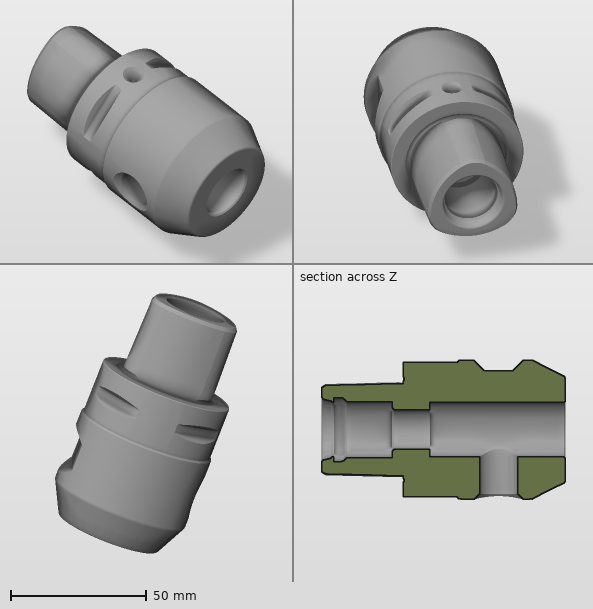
import cadquery as cq
import math


shank_length = 30.0
body_length = 60.0
flange_length = 20.0
nose_start = 47.8

flange_diameter = 50.0
body_diameter = 51.5
nose_diameter = 39.2
flange_edge_chamfer = 0.3
nose_edge_radius = 1.0
shoulder_radius = 1.5

lobe_center_offset = 8.55
lobe_radius = 10.12
flank_radius = lobe_radius + math.sqrt(3) * lobe_center_offset
lobe_angles = (90, 210, 330)
lobe_half_angle = 30
lobe_spacing = 120
straight_length = 2.3
end_chamfer_length = 1.4
end_chamfer_angle = 30.0
taper_angle = math.degrees(math.atan(1 / 40))

undercut_radius = 1.0
undercut_ring_radius = 18.75
undercut_center_x = -0.6

mouth_diameter = 24.0
mouth_rounding = 0.9
entry_end_diameter = 21.0
entry_end_depth = 3.4
entry_cone_angle = 18.0
lip_diameter = 20.0
lip_end_depth = 4.5
clamp_groove_diameter = 23.4
clamp_groove_corner_radius = 1.6
shank_bore_diameter = 20.5
shank_bore_start_depth = 9.3
shank_bore_depth = 26.0
through_diameter = 14.38
through_chamfer = 0.8

tool_bore_diameter = 20.0
tool_bore_depth = 50.0
tool_bore_mouth_diameter = 21.0

screw_x = 35.4
screw_hole_diameter = 13.84
screw_sink_diameter = 17.9
relief_floor_y = 21.8
relief_floor_width = 10.4

groove_x = 10.0
groove_angles = (45, 135, 225, 315)
groove_floor_distance = 22.2
groove_floor_width = 3.5
groove_wall_angle = 30.0
groove_corner_radius = 0.6
dimple_diameter = 8.1

clearance = 5.0


def revolve_about_x(profile):
    """Revolve a closed profile of (x, radius) points about the X axis."""
    return profile.revolve(360, (0, 0, 0), (1, 0, 0))


def turned_body():
    """Flange, cylindrical body and tapered nose as one turned shape."""
    flange_radius = flange_diameter / 2
    body_radius = body_diameter / 2
    step = body_radius - flange_radius
    profile = cq.Workplane("XY").polyline([
        (0, 0),
        (0, flange_radius - flange_edge_chamfer),
        (flange_edge_chamfer, flange_radius),
        (flange_length, flange_radius),
        (flange_length + step, body_radius),
        (nose_start, body_radius),
        (body_length, nose_diameter / 2),
        (body_length, 0),
    ]).close()
    body = revolve_about_x(profile)
    shoulder_center = (nose_start, 0, 0)
    body = body.edges(cq.selectors.NearestToPointSelector(shoulder_center)).fillet(shoulder_radius)
    return body.edges(">X").fillet(nose_edge_radius)


def polar(distance, angle):
    """Point at a distance and angle in degrees from the outline centre."""
    return (distance * math.cos(math.radians(angle)), distance * math.sin(math.radians(angle)))


def polygon_outline(x, inset):
    """Three lobe arcs and three flank arcs, tangent to each other, in the plane at x."""
    lobe = lobe_radius - inset
    flank = flank_radius - inset

    def lobe_point(lobe_angle, direction):
        center = polar(lobe_center_offset, lobe_angle)
        offset = polar(lobe, direction)
        return (center[0] + offset[0], center[1] + offset[1])

    first_angle = lobe_angles[0]
    outline = cq.Workplane("YZ", origin=(x, 0, 0))
    outline = outline.moveTo(*lobe_point(first_angle, first_angle - lobe_half_angle))
    for angle in lobe_angles:
        lobe_end = lobe_point(angle, angle + lobe_half_angle)
        outline = outline.threePointArc(lobe_point(angle, angle), lobe_end)
        flank_middle = polar(flank - lobe_center_offset, angle + lobe_spacing / 2)
        next_angle = angle + lobe_spacing
        flank_end = lobe_point(next_angle, next_angle - lobe_half_angle)
        outline = outline.threePointArc(flank_middle, flank_end)
    return outline.close()


def shank():
    """Tapered polygon with a chamfered tip and a straight collar reaching into the flange."""
    taper_length = shank_length - straight_length - end_chamfer_length
    taper_start_x = end_chamfer_length - shank_length
    taper_inset = taper_length * math.tan(math.radians(taper_angle))
    chamfer_inset = end_chamfer_length * math.tan(math.radians(end_chamfer_angle))
    tip = polygon_outline(-shank_length, taper_inset + chamfer_inset)
    tip = tip.extrude(end_chamfer_length, taper=-end_chamfer_angle)
    cone = polygon_outline(taper_start_x, taper_inset).extrude(taper_length, taper=-taper_angle)
    collar = polygon_outline(-straight_length, 0).extrude(straight_length + clearance)
    return tip.union(cone).union(collar)


def undercut():
    """Ring of round section that cuts the lobe ends and the flange face."""
    section = cq.Workplane("XY").moveTo(undercut_center_x, undercut_ring_radius).circle(undercut_radius)
    return revolve_about_x(section)


def shank_bore():
    """Rounded mouth, entry cone, lip, clamping groove, plain bore and through hole."""
    end_x = -shank_length
    entry_radius = entry_end_diameter / 2
    lip_radius = lip_diameter / 2
    groove_radius = clamp_groove_diameter / 2
    bore_radius = shank_bore_diameter / 2
    through_radius = through_diameter / 2

    def mouth_point(turn):
        """Point on the rounded mouth after turning away from the end face by an angle."""
        return (
            end_x + mouth_rounding * (1 - math.cos(math.radians(turn))),
            mouth_diameter / 2 - mouth_rounding * math.sin(math.radians(turn)),
        )

    mouth_turn = 90 - entry_cone_angle
    mouth_middle = mouth_point(mouth_turn / 2)
    cone_start = mouth_point(mouth_turn)

    ramp_turn = math.radians(45)
    ramp_start_radius = groove_radius - clamp_groove_corner_radius * (1 - math.cos(ramp_turn))
    bore_start_x = end_x + shank_bore_start_depth
    ramp_start_x = bore_start_x - (ramp_start_radius - bore_radius)
    groove_floor_end_x = ramp_start_x - clamp_groove_corner_radius * math.sin(ramp_turn)

    floor_x = end_x + shank_bore_depth
    profile = (
        cq.Workplane("XY")
        .moveTo(end_x, 0)
        .lineTo(end_x, mouth_diameter / 2)
        .threePointArc(mouth_middle, cone_start)
        .lineTo(end_x + entry_end_depth, entry_radius)
        .lineTo(end_x + entry_end_depth + entry_radius - lip_radius, lip_radius)
        .lineTo(end_x + lip_end_depth, lip_radius)
        .lineTo(end_x + lip_end_depth, groove_radius)
        .lineTo(groove_floor_end_x, groove_radius)
        .tangentArcPoint((ramp_start_x, ramp_start_radius), relative=False)
        .lineTo(bore_start_x, bore_radius)
        .lineTo(floor_x, bore_radius)
        .lineTo(floor_x, through_radius + through_chamfer)
        .lineTo(floor_x + through_chamfer, through_radius)
        .lineTo(body_length, through_radius)
        .lineTo(body_length, 0)
        .close()
    )
    return revolve_about_x(profile)


def tool_bore():
    """Plain tool bore from the nose, with a chamfered mouth."""
    bore_radius = tool_bore_diameter / 2
    mouth_radius = tool_bore_mouth_diameter / 2
    profile = cq.Workplane("XY").polyline([
        (body_length - tool_bore_depth, 0),
        (body_length - tool_bore_depth, bore_radius),
        (body_length - (mouth_radius - bore_radius), bore_radius),
        (body_length, mouth_radius),
        (body_length, 0),
    ]).close()
    return revolve_about_x(profile)


def screw_hole():
    """Radial hole from -Y into the tool bore, with a 90 degree countersink."""
    body_radius = body_diameter / 2
    hole_radius = screw_hole_diameter / 2
    sink_radius = screw_sink_diameter / 2
    profile = cq.Workplane("XY", origin=(screw_x, 0, 0)).polyline([
        (0, 0),
        (hole_radius, 0),
        (hole_radius, -body_radius + sink_radius - hole_radius),
        (sink_radius, -body_radius),
        (sink_radius + clearance, -body_radius - clearance),
        (0, -body_radius - clearance),
    ]).close()
    return profile.revolve(360, (0, 0, 0), (0, 1, 0))


def relief():
    """Flat with 45 degree side walls across the +Y side, opposite the screw hole."""
    height = body_diameter / 2 - relief_floor_y + clearance
    half_floor = relief_floor_width / 2
    profile = cq.Workplane("XY", origin=(screw_x, relief_floor_y, 0)).polyline([
        (-half_floor, 0),
        (half_floor, 0),
        (half_floor + height, height),
        (-half_floor - height, height),
    ]).close()
    return profile.extrude(body_diameter / 2, both=True)


def gripper_groove(angle):
    """Straight groove with sloped walls, cut tangentially at an angle around X."""
    height = flange_diameter / 2 - groove_floor_distance + clearance
    half_floor = groove_floor_width / 2
    half_top = half_floor + height * math.tan(math.radians(groove_wall_angle))
    profile = cq.Workplane("XY", origin=(groove_x, groove_floor_distance, 0)).polyline([
        (-half_floor, 0),
        (half_floor, 0),
        (half_top, height),
        (-half_top, height),
    ]).close()
    cutter = profile.extrude(flange_diameter / 2, both=True)
    cutter = cutter.faces("<Y").edges("|Z").fillet(groove_corner_radius)
    return cutter.rotate((0, 0, 0), (1, 0, 0), angle)


def index_dimple():
    """Conical 90 degree dimple on the +Z side of the flange."""
    tip_z = flange_diameter / 2 - dimple_diameter / 2
    reach = dimple_diameter / 2 + clearance
    profile = cq.Workplane("XZ", origin=(groove_x, 0, 0)).polyline([
        (0, tip_z),
        (reach, tip_z + reach),
        (0, tip_z + reach),
    ]).close()
    return profile.revolve(360, (0, 0, 0), (0, 1, 0))


result = turned_body().union(shank())
result = result.cut(undercut()).cut(shank_bore()).cut(tool_bore())
result = result.cut(screw_hole()).cut(relief()).cut(index_dimple())
for groove_angle in groove_angles:
    result = result.cut(gripper_groove(groove_angle))